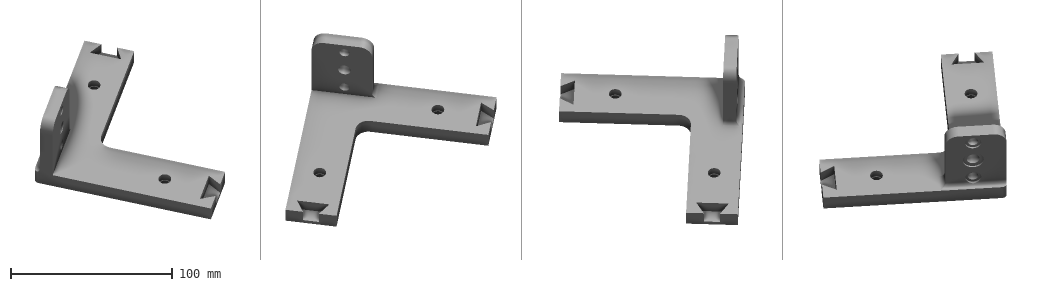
import cadquery as cq
import math

side = 114.3
arm_width = 32.1
plate_thickness = 10.0
inner_corner_radius = 8.0
outer_corner_radius = 3.0

total_height = 54.4
tab_inset = 4.0
tab_thickness = 8.2
tab_width = 38.1
tab_corner_radius = 8.0
root_radius = 3.0

tab_hole_y = 20.7
tab_hole_middle_z = 32.0
tab_hole_spacing = 15.8
small_hole_diameter = 6.4
small_bore_diameter = 10.0
large_hole_diameter = 8.0
large_bore_diameter = 13.0
tab_bore_depth = 1.0

arm_hole_distance = 80.0
arm_hole_diameter = 6.6
arm_bore_diameter = 7.9
arm_bore_depth = 5.0

dovetail_length = 8.8
dovetail_wide = 20.2
dovetail_angle = 30.0
dovetail_depth = 7.5

arm_center = arm_width / 2


def mirror_arms(solid):
    """Return the solid on the X arm together with its twin on the Y arm."""
    twin = solid.mirror("YZ").rotate((0, 0, 0), (0, 0, 1), -90)
    return solid.union(twin)


def make_plate():
    outline = [(0, 0), (side, 0), (side, arm_width), (arm_width, arm_width), (arm_width, side), (0, side)]
    plate = cq.Workplane("XY").polyline(outline).close().extrude(plate_thickness)
    inner_edge = cq.selectors.NearestToPointSelector((arm_width, arm_width, plate_thickness / 2))
    plate = plate.edges(inner_edge).fillet(inner_corner_radius)
    outer_edge = cq.selectors.NearestToPointSelector((0, 0, plate_thickness / 2))
    return plate.edges(outer_edge).fillet(outer_corner_radius)


def make_tab():
    tab = cq.Workplane("XY").box(tab_thickness, tab_width, total_height, centered=False)
    tab = tab.edges("|X and >Z").fillet(tab_corner_radius)
    return tab.translate((tab_inset, 0, 0))


def make_root_fillet():
    """Concave fillet along the outer face and one side of the tab, mitred at the corner."""
    reach = root_radius
    length = tab_width + reach
    block = cq.Workplane("XY").box(tab_thickness + reach, length, reach, centered=False)
    block = block.translate((tab_inset - reach, 0, plate_thickness))
    axis_z = plate_thickness + reach
    face_cut = cq.Workplane("XZ", origin=(tab_inset - reach, 0, axis_z)).circle(reach).extrude(-length)
    side_cut = cq.Workplane("YZ", origin=(tab_inset - reach, length, axis_z)).circle(reach)
    side_cut = side_cut.extrude(tab_thickness + reach)
    rounded_end = (
        cq.Workplane("XY")
        .box(side, side, total_height, centered=False)
        .edges("|Z and <X and <Y")
        .fillet(outer_corner_radius)
    )
    return block.cut(face_cut).cut(side_cut).intersect(rounded_end)


def make_tab_hole(z, hole_diameter, bore_diameter):
    face = cq.Workplane("YZ", origin=(0, tab_hole_y, z))
    hole = face.circle(hole_diameter / 2).extrude(tab_inset + tab_thickness)
    bore = face.circle(bore_diameter / 2).extrude(tab_inset + tab_bore_depth)
    return hole.union(bore)


def make_arm_hole():
    top = cq.Workplane("XY", origin=(arm_hole_distance, arm_center, plate_thickness))
    hole = top.circle(arm_hole_diameter / 2).extrude(-plate_thickness)
    bore = top.circle(arm_bore_diameter / 2).extrude(-arm_bore_depth)
    return hole.union(bore)


def make_dovetail():
    half_wide = dovetail_wide / 2
    half_mouth = half_wide - dovetail_length * math.tan(math.radians(dovetail_angle))
    inner_x = side - dovetail_length
    outline = [(inner_x, -half_wide), (side, -half_mouth), (side, half_mouth), (inner_x, half_wide)]
    top = cq.Workplane("XY", origin=(0, arm_center, plate_thickness))
    return top.polyline(outline).close().extrude(-dovetail_depth)


result = make_plate().union(make_tab()).union(make_root_fillet())
result = result.cut(mirror_arms(make_arm_hole()))
result = result.cut(mirror_arms(make_dovetail()))

for offset in (-tab_hole_spacing, tab_hole_spacing):
    result = result.cut(make_tab_hole(tab_hole_middle_z + offset, small_hole_diameter, small_bore_diameter))
result = result.cut(make_tab_hole(tab_hole_middle_z, large_hole_diameter, large_bore_diameter))